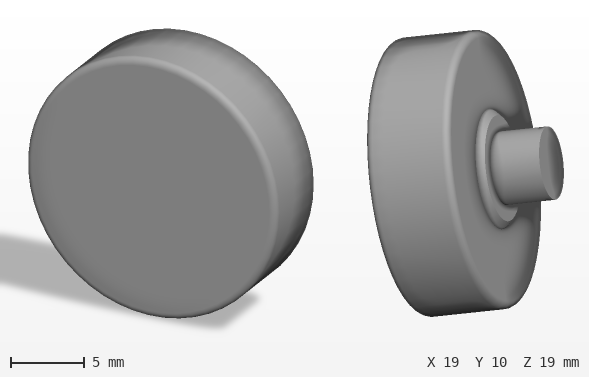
import cadquery as cq

disc_diameter = 19.0
disc_thickness = 6.0
rim_radius = 0.5
collar_height = 0.5
collar_base_diameter = 8.2
collar_top_diameter = collar_base_diameter - 2 * collar_height
stem_diameter = 5.0
overall_length = 10.0

collar_end = disc_thickness + collar_height


def make_disc():
    """Disc with its front face at Y = 0 and both rims rounded."""
    disc = cq.Workplane("XZ").circle(disc_diameter / 2).extrude(-disc_thickness)
    return disc.edges("%CIRCLE").fillet(rim_radius)


def make_collar_and_stem():
    """Half profile from the front face to the stem end, revolved about Y."""
    base_radius = collar_base_diameter / 2
    top_radius = collar_top_diameter / 2
    stem_radius = stem_diameter / 2
    profile = (
        cq.Workplane("XY")
        .lineTo(base_radius, 0)
        .lineTo(base_radius, disc_thickness)
        .lineTo(top_radius, collar_end)
        .lineTo(stem_radius, collar_end)
        .lineTo(stem_radius, overall_length)
        .lineTo(0, overall_length)
        .close()
    )
    return profile.revolve(360, (0, 0, 0), (0, 1, 0))


result = make_disc().union(make_collar_and_stem())